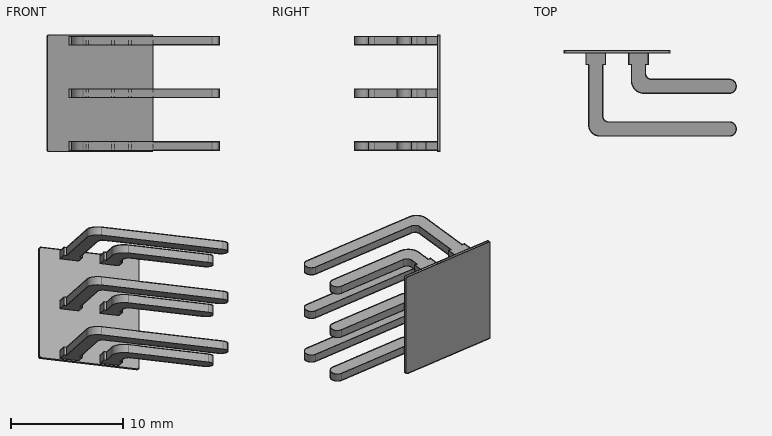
import cadquery as cq

plate_width = 9.44
plate_height = 10.4
plate_thickness = 0.25
plate_corner_radius = 0.15

overall_length = 15.35
overall_depth = 7.65
column_pitch = 3.8
row_pitch = 4.7
row_count = 3
lead_width = 1.27
lead_thickness = 0.77
shoulder_step = 0.25
shoulder_depth = 1.03
inner_bend_radius = 0.5
long_outer_radius = 1.01
short_outer_radius = 1.15

long_reach = overall_depth - plate_thickness
short_reach = long_reach - column_pitch
long_lead_x = (plate_width - column_pitch) / 2
short_lead_x = long_lead_x + column_pitch


def make_plate():
    """Thin upright plate with rounded corners, behind Y = 0."""
    return (
        cq.Workplane("XY")
        .box(plate_width, plate_thickness, plate_height)
        .edges("|Y")
        .fillet(plate_corner_radius)
        .translate((plate_width / 2, plate_thickness / 2, 0))
    )


def make_lead(center_x, reach, outer_radius):
    """L-shaped flat lead leaving the plate toward -Y, then turning toward +X."""
    left = center_x - lead_width / 2
    right = center_x + lead_width / 2
    outer_y = -reach
    inner_y = outer_y + lead_width
    tip_start = overall_length - lead_width / 2
    lead = (
        cq.Workplane("XY")
        .moveTo(left, 0)
        .lineTo(left, outer_y + outer_radius)
        .radiusArc((left + outer_radius, outer_y), -outer_radius)
        .lineTo(tip_start, outer_y)
        .threePointArc((overall_length, outer_y + lead_width / 2), (tip_start, inner_y))
        .lineTo(right + inner_bend_radius, inner_y)
        .radiusArc((right, inner_y + inner_bend_radius), inner_bend_radius)
        .lineTo(right, 0)
        .close()
        .extrude(lead_thickness / 2, both=True)
    )
    shoulder = (
        cq.Workplane("XY")
        .box(lead_width + 2 * shoulder_step, shoulder_depth, lead_thickness)
        .translate((center_x, -shoulder_depth / 2, 0))
    )
    return lead.union(shoulder)


long_lead = make_lead(long_lead_x, long_reach, long_outer_radius)
short_lead = make_lead(short_lead_x, short_reach, short_outer_radius)

result = make_plate()
for row in range(row_count):
    row_z = (row - (row_count - 1) / 2) * row_pitch
    result = result.union(long_lead.translate((0, 0, row_z)))
    result = result.union(short_lead.translate((0, 0, row_z)))